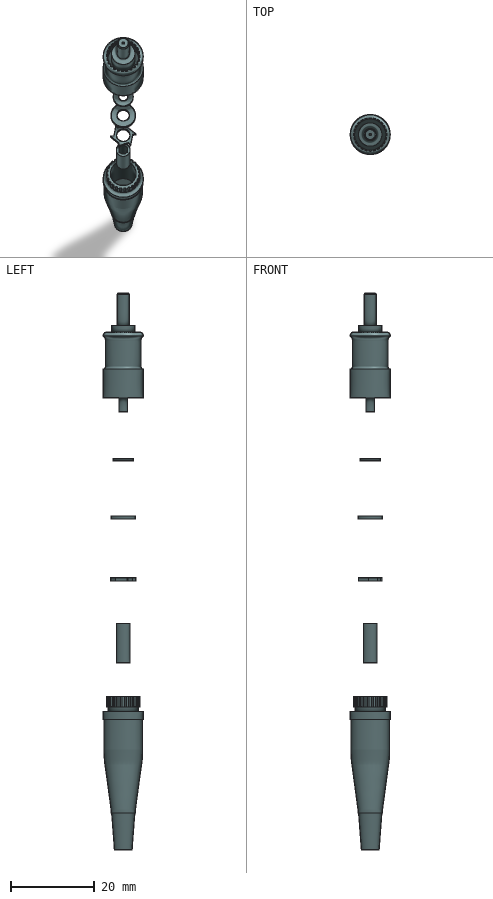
import cadquery as cq
import math

AXIS_START = (0, 0, 0)
AXIS_END = (0, 0, 1)
PROFILE_AXIS_END = (0, 1, 0)

shell_radius = 4.8
shell_bottom = 108.4
shell_shoulder = 115.3
neck_radius = 4.3
neck_round = shell_radius - neck_radius
neck_top = 122.1
rim_edge = 123.2
rim_top = 124.1
rim_round = 0.8
mouth_radius = 3.7
mouth_depth = 3.3
notch_height = 1.1

tooth_count = 24
tooth_depth = 0.3
tooth_width = 0.5
crown_radius = mouth_radius + tooth_depth

core_radius = 2.8
boss_top = 125.7
stem_radius = 1.5
stem_top = 133.5
stem_chamfer = 0.3
stem_hole_radius = 0.3
stem_hole_depth = 2.7
contact_radius = 1.1
contact_bottom = 105.0

thin_washer_radius = 2.4
thin_washer_hole_radius = 1.1
thin_washer_bottom = 93.3
thin_washer_height = 0.5
wide_washer_radius = 3.0
wide_washer_hole_radius = 1.5
wide_washer_bottom = 79.3
wide_washer_height = 0.8

star_tip_radius = 3.1
star_root_radius = 2.3
star_hole_radius = 1.6
star_bottom = 64.5
star_height = 0.8
star_tooth_count = 6
star_first_tip_angle = 22

ferrule_diameter = 3.3
ferrule_bore_radius = 1.1
ferrule_bottom = 44.8
ferrule_height = 9.5

sleeve_bottom = 0.0
tail_bottom_radius = 2.1
tail_top_radius = 2.8
ring_radius = 3.0
ring_bottom = 8.8
ring_top = 9.6
taper_top = 20.4
taper_top_radius = 4.4
grip_bottom = 24.0
grip_radius = 4.7
collar_radius = shell_radius
collar_bottom = 31.2
collar_top = 33.2
relief_radius = 3.6
crown_bottom = 34.3
crown_top = 36.8
sleeve_bore_radius = 3.1
sleeve_bore_bottom = grip_bottom
cable_hole_radius = 1.5


def cylinder(radius, bottom, top):
    return cq.Workplane("XY", origin=(0, 0, bottom)).circle(radius).extrude(top - bottom)


def make_ring(outer_radius, hole_radius, bottom, height):
    return cq.Workplane("XY", origin=(0, 0, bottom)).circle(outer_radius).circle(hole_radius).extrude(height)


def toothed_cylinder(bottom, top):
    """Cylinder with straight teeth standing out to the crown radius."""
    shaft = cylinder(mouth_radius, bottom, top)
    tooth = cq.Workplane("XY", origin=(0, 0, bottom)).rect(2 * crown_radius, tooth_width).extrude(top - bottom)
    for index in range(tooth_count // 2):
        shaft = shaft.union(tooth.rotate(AXIS_START, AXIS_END, index * 360 / tooth_count))
    return shaft.intersect(cylinder(crown_radius, bottom, top))


def make_shell():
    round_offset = rim_round * math.sqrt(0.5)
    round_center_radius = shell_radius - rim_round
    round_center_height = rim_top - rim_round
    shell = (
        cq.Workplane("XZ")
        .moveTo(0, shell_bottom)
        .lineTo(shell_radius, shell_bottom)
        .lineTo(shell_radius, shell_shoulder)
        .radiusArc((neck_radius, shell_shoulder + neck_round), neck_round)
        .lineTo(neck_radius, neck_top)
        .tangentArcPoint((shell_radius, rim_edge), relative=False)
        .lineTo(shell_radius, round_center_height)
        .threePointArc(
            (round_center_radius + round_offset, round_center_height + round_offset),
            (round_center_radius, rim_top),
        )
        .lineTo(0, rim_top)
        .close()
        .revolve(360, AXIS_START, PROFILE_AXIS_END)
    )
    shell = shell.cut(cylinder(core_radius, shell_bottom, rim_top))
    shell = shell.cut(cylinder(mouth_radius, rim_top - mouth_depth, rim_top))
    return shell.cut(toothed_cylinder(rim_top - notch_height, rim_top))


def make_core():
    stem = cylinder(stem_radius, boss_top, stem_top).faces(">Z").chamfer(stem_chamfer)
    core = cylinder(core_radius, shell_bottom, boss_top)
    core = core.union(stem)
    core = core.union(cylinder(contact_radius, contact_bottom, shell_bottom))
    return core.cut(cylinder(stem_hole_radius, stem_top - stem_hole_depth, stem_top))


def make_star_washer():
    outline = []
    for index in range(star_tooth_count):
        angle = math.radians(star_first_tip_angle + index * 360 / star_tooth_count)
        for radius in (star_root_radius, star_tip_radius):
            outline.append((radius * math.cos(angle), radius * math.sin(angle)))
    washer = cq.Workplane("XY", origin=(0, 0, star_bottom)).polyline(outline).close().extrude(star_height)
    return washer.cut(cylinder(star_hole_radius, star_bottom, star_bottom + star_height))


def make_sleeve():
    sleeve = (
        cq.Workplane("XZ")
        .moveTo(0, crown_bottom)
        .lineTo(relief_radius, crown_bottom)
        .lineTo(relief_radius, collar_top)
        .lineTo(collar_radius, collar_top)
        .lineTo(collar_radius, collar_bottom)
        .lineTo(grip_radius, collar_bottom)
        .lineTo(grip_radius, grip_bottom)
        .tangentArcPoint((taper_top_radius, taper_top), relative=False)
        .lineTo(ring_radius, ring_top)
        .lineTo(ring_radius, ring_bottom)
        .lineTo(tail_top_radius, ring_bottom)
        .lineTo(tail_bottom_radius, sleeve_bottom)
        .lineTo(0, sleeve_bottom)
        .close()
        .revolve(360, AXIS_START, PROFILE_AXIS_END)
    )
    sleeve = sleeve.union(toothed_cylinder(crown_bottom, crown_top))
    sleeve = sleeve.cut(cylinder(sleeve_bore_radius, sleeve_bore_bottom, crown_top))
    return sleeve.cut(cylinder(cable_hole_radius, sleeve_bottom, crown_top))


shell = make_shell()
core = make_core()
thin_washer = make_ring(thin_washer_radius, thin_washer_hole_radius, thin_washer_bottom, thin_washer_height)
wide_washer = make_ring(wide_washer_radius, wide_washer_hole_radius, wide_washer_bottom, wide_washer_height)
star_washer = make_star_washer()
ferrule = make_ring(ferrule_diameter / 2, ferrule_bore_radius, ferrule_bottom, ferrule_height)
sleeve = make_sleeve()

result = cq.Compound.makeCompound([
    shell.val(),
    core.val(),
    thin_washer.val(),
    wide_washer.val(),
    star_washer.val(),
    ferrule.val(),
    sleeve.val(),
])